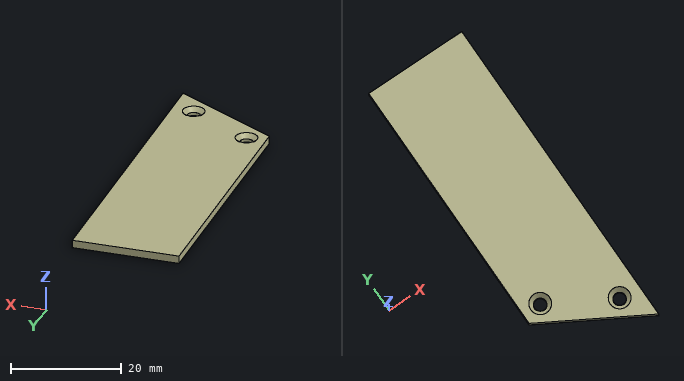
import cadquery as cq
import math

width = 20.45
length = 63.5
thickness = 1.5
end_angle = 30.0

hole_diameter = 2.4
countersink_diameter = 4.1
countersink_angle = 90.0
first_hole_x = 3.75
first_hole_y = 13.7
hole_spacing_x = 12.5

end_slope = math.tan(math.radians(end_angle))
end_rise = width * end_slope
hole_spacing_y = hole_spacing_x * end_slope

plate = (
    cq.Workplane("XY")
    .moveTo(0, end_rise)
    .lineTo(width, 0)
    .lineTo(width, length)
    .lineTo(0, length)
    .close()
    .extrude(thickness)
)

hole_centres = [
    (first_hole_x + i * hole_spacing_x, first_hole_y - i * hole_spacing_y)
    for i in range(2)
]
result = (
    plate.faces(">Z")
    .workplane(origin=(0, 0, thickness))
    .pushPoints(hole_centres)
    .cskHole(hole_diameter, countersink_diameter, countersink_angle)
)